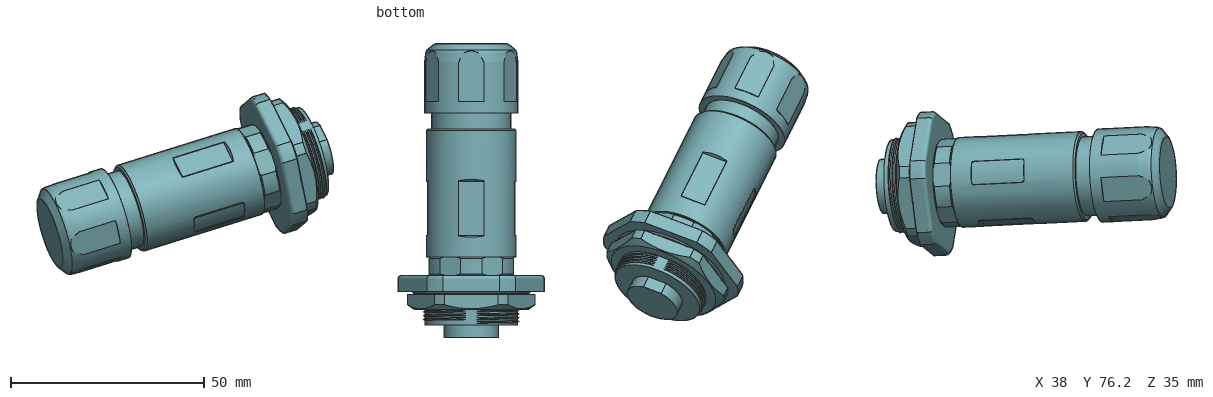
import cadquery as cq
import math

TIP = 0.0
THREAD_START = 3.3
NUT_START = 7.3
NUT_END = 11.2
WASHER_START = 11.5
FLANGE_START = 11.95
FLANGE_END = 16.15
COLLAR_END = 20.95
BODY_END = 54.1
CAP_START = 58.2
CAP_FLATS_START = 61.15
CAP_TAPER_START = 71.3
CAP_END = 76.15

TIP_RADIUS = 7.1
TIP_FLAT_HEIGHT = 6.6

THREAD_ROOT_RADIUS = 11.95
THREAD_DEPTH = 0.4
THREAD_PITCH = 1.0
THREAD_TURNS = 4
THREAD_FIRST_CREST = 3.95
THREAD_ROOT_OVERLAP = 0.15
THREAD_BASE_WIDTH = 0.8 * THREAD_PITCH
SLEEVE_FLAT_WIDTH = 3.0
SLEEVE_FLAT_HEIGHT = math.sqrt(THREAD_ROOT_RADIUS**2 - (SLEEVE_FLAT_WIDTH / 2) ** 2)

NUT_ACROSS_FLATS = 30.0
NUT_RADIUS = 16.5
NUT_FACE_RADIUS = 14.8
NUT_CHAMFER_LENGTH = 1.2
WASHER_RADIUS = 15.4
WASHER_FACE_RADIUS = 14.9
FLANGE_ACROSS_FLATS = 35.0
FLANGE_DIAMETER = 38.0
FLANGE_FILLET = 1.0

COLLAR_DIAMETER = 22.8
COLLAR_ACROSS_FLATS = 21.9
COLLAR_CHAMFER_LENGTH = 0.4
COLLAR_CHAMFER_DEPTH = 0.3

BODY_RADIUS = 11.65
BODY_CHAMFER = 0.45
POCKET_START = 26.5
POCKET_END = 40.5
POCKET_WIDTH = 6.7
POCKET_FLOOR = 11.0
POCKET_END_SLOPE = 0.45
LABEL_LENGTH = 14.0
LABEL_HEIGHT = 6.2
LABEL_DEPTH = 0.3
LABEL_CORNER = 0.7

NECK_RADIUS = 10.3
CAP_RADIUS = 12.1
CAP_TAPER_RADIUS = 11.8
CAP_TAPER_END = 73.8
CAP_SHOULDER_RADIUS = 11.6
CAP_SHOULDER_END = 74.5
CAP_RIM_RADIUS = 9.75
CAP_RIM_START = 75.9
CAP_FACE_RADIUS = 9.2
CAP_ACROSS_FLATS = 23.3

CLEARANCE = 0.75


def turned(profile):
    """Revolve (radius, station) points about the part axis."""
    first_station = profile[0][1]
    last_station = profile[-1][1]
    points = [(0, -first_station)]
    points += [(radius, -station) for radius, station in profile]
    points += [(0, -last_station)]
    return cq.Workplane("XY").polyline(points).close().revolve(360, (0, 0), (0, 1))


def cylinder(radius, start, end):
    return turned([(radius, start), (radius, end)])


def hex_prism(across_flats, start, end):
    """Hexagonal prism along the axis with flats facing +Z and -Z."""
    across_corners = across_flats / math.cos(math.pi / 6)
    face = cq.Workplane("XZ", origin=(0, -start, 0)).polygon(6, across_corners)
    return face.extrude(end - start)


def block(width, start, end, bottom, top):
    """Box centred on X = 0 between two stations and two heights."""
    size = (width, end - start, top - bottom)
    centre = (0, -(start + end) / 2, (bottom + top) / 2)
    return cq.Workplane("XY").box(*size).translate(centre)


def half_turn(shape):
    """Copy of a shape on the opposite side of the axis."""
    return shape.rotate((0, 0, 0), (0, 1, 0), 180)


def plug_tip():
    tip = cylinder(TIP_RADIUS, TIP, THREAD_START)
    flat = block(2 * TIP_RADIUS, TIP, THREAD_START, TIP_FLAT_HEIGHT, TIP_RADIUS + CLEARANCE)
    return tip.cut(flat)


def thread_ridge():
    """Right-hand V ridge that starts and ends at the bottom flat."""
    length = THREAD_TURNS * THREAD_PITCH
    inner = THREAD_ROOT_RADIUS - THREAD_ROOT_OVERLAP
    crest = THREAD_ROOT_RADIUS + THREAD_DEPTH
    half_base = THREAD_BASE_WIDTH / 2
    path = cq.Workplane(cq.Wire.makeHelix(THREAD_PITCH, length, THREAD_ROOT_RADIUS))
    section = cq.Workplane("XZ").polyline([(inner, -half_base), (crest, 0), (inner, half_base)])
    ridge = section.close().sweep(path, isFrenet=True)
    ridge = ridge.rotate((0, 0, 0), (0, 0, 1), 90)
    ridge = ridge.rotate((0, 0, 0), (1, 0, 0), -90)
    return ridge.translate((0, -THREAD_FIRST_CREST - length, 0))


def threaded_sleeve():
    sleeve = cylinder(THREAD_ROOT_RADIUS, THREAD_START, FLANGE_START).union(thread_ridge())
    crest = THREAD_ROOT_RADIUS + THREAD_DEPTH
    flat = block(2 * crest, THREAD_START, FLANGE_START, SLEEVE_FLAT_HEIGHT, crest + CLEARANCE)
    return sleeve.cut(flat).cut(half_turn(flat))


def lock_nut():
    blank = turned([
        (NUT_FACE_RADIUS, NUT_START),
        (NUT_RADIUS, NUT_START + NUT_CHAMFER_LENGTH),
        (NUT_RADIUS, NUT_END),
    ])
    return blank.intersect(hex_prism(NUT_ACROSS_FLATS, NUT_START, NUT_END))


def washer():
    return turned([(WASHER_FACE_RADIUS, WASHER_START), (WASHER_RADIUS, FLANGE_START)])


def flange():
    blank = cylinder(FLANGE_DIAMETER / 2, FLANGE_START, FLANGE_END)
    plate = blank.intersect(hex_prism(FLANGE_ACROSS_FLATS, FLANGE_START, FLANGE_END))
    return plate.faces("<Y").edges().fillet(FLANGE_FILLET)


def collar():
    radius = COLLAR_DIAMETER / 2
    end_radius = radius - COLLAR_CHAMFER_DEPTH
    blank = turned([
        (end_radius, FLANGE_END),
        (radius, FLANGE_END + COLLAR_CHAMFER_LENGTH),
        (radius, COLLAR_END - COLLAR_CHAMFER_LENGTH),
        (end_radius, COLLAR_END),
    ])
    hexagon = hex_prism(COLLAR_ACROSS_FLATS, FLANGE_END, COLLAR_END)
    return blank.intersect(hexagon.rotate((0, 0, 0), (0, 1, 0), 30))


def grip_pocket():
    """Flat-bottomed pocket on top of the body with sloping end walls."""
    outline = [
        (-POCKET_START, POCKET_FLOOR),
        (-POCKET_START + POCKET_END_SLOPE, BODY_RADIUS),
        (-POCKET_END - POCKET_END_SLOPE, BODY_RADIUS),
        (-POCKET_END, POCKET_FLOOR),
    ]
    return cq.Workplane("YZ").polyline(outline).close().extrude(POCKET_WIDTH / 2, both=True)


def label_recess():
    """Rounded rectangle, sunk by an even depth into the +X side of the body."""
    centre = -(POCKET_START + POCKET_END) / 2
    window = cq.Workplane("YZ").center(centre, 0).rect(LABEL_LENGTH, LABEL_HEIGHT)
    window = window.extrude(BODY_RADIUS + CLEARANCE).edges("|X").fillet(LABEL_CORNER)
    return window.cut(cylinder(BODY_RADIUS - LABEL_DEPTH, COLLAR_END, BODY_END))


def body():
    barrel = cylinder(BODY_RADIUS, COLLAR_END, BODY_END).faces("<Y").chamfer(BODY_CHAMFER)
    for recess in (grip_pocket(), label_recess()):
        barrel = barrel.cut(recess).cut(half_turn(recess))
    return barrel


def cap():
    blank = turned([
        (CAP_RADIUS, CAP_START),
        (CAP_RADIUS, CAP_TAPER_START),
        (CAP_TAPER_RADIUS, CAP_TAPER_END),
        (CAP_SHOULDER_RADIUS, CAP_SHOULDER_END),
        (CAP_RIM_RADIUS, CAP_RIM_START),
        (CAP_FACE_RADIUS, CAP_END),
    ])
    ring = cylinder(CAP_RADIUS + CLEARANCE, CAP_FLATS_START, CAP_END)
    return blank.cut(ring.cut(hex_prism(CAP_ACROSS_FLATS, CAP_FLATS_START, CAP_END)))


neck = cylinder(NECK_RADIUS, BODY_END, CAP_START)

result = plug_tip()
for section in (threaded_sleeve(), lock_nut(), washer(), flange(), collar(), body(), neck, cap()):
    result = result.union(section)